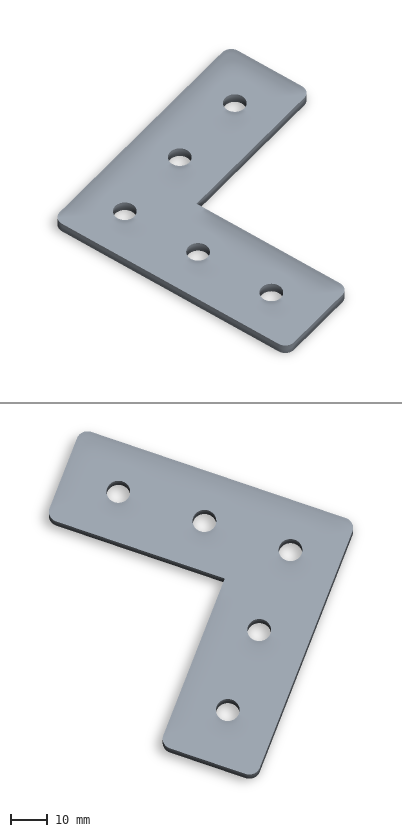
import cadquery as cq

side_length = 80.0
arm_width = 28.0
thickness = 3.0
corner_radius = 3.0
hole_diameter = 6.5
holes_per_arm = 3
hole_span = 50.0

hole_pitch = hole_span / (holes_per_arm - 1)
arm_center = arm_width / 2


def make_plate():
    """L-shaped plate with rounded outer corners and a sharp inner corner."""
    arm_x = cq.Workplane("XY").box(side_length, arm_width, thickness, centered=False)
    arm_y = cq.Workplane("XY").box(arm_width, side_length, thickness, centered=False)
    arm_x = arm_x.edges("|Z").edges("<X and <Y or >X").fillet(corner_radius)
    arm_y = arm_y.edges("|Z").edges("<X and <Y or >Y").fillet(corner_radius)
    return arm_x.union(arm_y)


def hole_centers():
    """Hole positions along both arms, sharing the hole at the corner."""
    offsets = [arm_center + i * hole_pitch for i in range(holes_per_arm)]
    along_x = [(offset, arm_center) for offset in offsets]
    along_y = [(arm_center, offset) for offset in offsets[1:]]
    return along_x + along_y


hole_cutter = (
    cq.Workplane("XY")
    .pushPoints(hole_centers())
    .circle(hole_diameter / 2)
    .extrude(thickness)
)

result = make_plate().cut(hole_cutter)